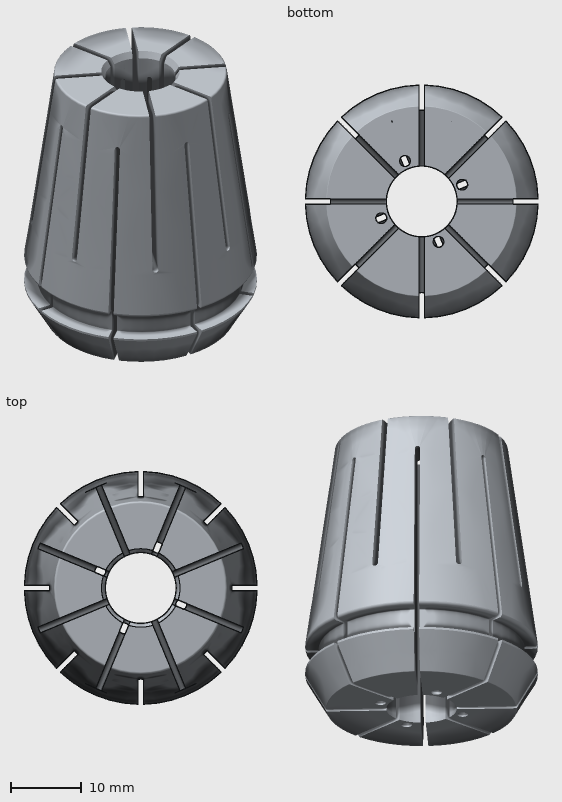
import cadquery as cq
import math

height = 40.0
max_radius = 33.0 / 2
taper_angle = math.radians(8)
nose_angle = math.radians(30)

nose_edge_z = 5.25
groove_bottom_z = 5.55
groove_top_z = 9.1
groove_radius = 14.6
groove_root_fillet = 0.1

rim_fillet = 0.5
taper_start_z = groove_top_z + rim_fillet
top_fillet = 0.3
bottom_fillet = 0.1

bore_radius = 10.0 / 2
bore_chamfer_width = 0.55
bore_chamfer_depth = 0.9

slots_per_end = 8
slot_pitch = 360.0 / slots_per_end
bottom_slot_width = 0.75
bottom_slot_end_z = 35.0
top_slot_width = 0.9
top_slot_end_z = 16.0
slot_end_slope = math.radians(8)

hole_count = 4
hole_diameter = 1.5
hole_circle_radius = 6.2
hole_top_z = top_slot_end_z + top_slot_width
first_hole_angle = 1.5 * slot_pitch


def make_body():
    """Revolved collet body: conical nose, extraction groove and long taper."""
    nose_radius = max_radius - nose_edge_z * math.tan(nose_angle)
    top_radius = max_radius - (height - taper_start_z) * math.tan(taper_angle)
    body = (
        cq.Workplane("XZ")
        .moveTo(0, 0)
        .lineTo(nose_radius, 0)
        .lineTo(max_radius, nose_edge_z)
        .lineTo(max_radius, groove_bottom_z)
        .lineTo(groove_radius + groove_root_fillet, groove_bottom_z)
        .radiusArc((groove_radius, groove_bottom_z + groove_root_fillet), groove_root_fillet)
        .lineTo(groove_radius, groove_top_z - groove_root_fillet)
        .radiusArc((groove_radius + groove_root_fillet, groove_top_z), groove_root_fillet)
        .lineTo(max_radius - rim_fillet, groove_top_z)
        .radiusArc((max_radius, taper_start_z), -rim_fillet)
        .lineTo(top_radius, height)
        .lineTo(0, height)
        .close()
        .revolve(360, (0, 0, 0), (0, 1, 0))
    )
    body = body.faces("<Z").edges().fillet(bottom_fillet)
    return body.faces(">Z").edges().fillet(top_fillet)


def make_bore():
    """Through bore with a conical lead-in at the top."""
    mouth_radius = bore_radius + bore_chamfer_width
    return (
        cq.Workplane("XZ")
        .moveTo(0, 0)
        .lineTo(bore_radius, 0)
        .lineTo(bore_radius, height - bore_chamfer_depth)
        .lineTo(mouth_radius, height)
        .lineTo(0, height)
        .close()
        .revolve(360, (0, 0, 0), (0, 1, 0))
    )


def make_slot(width, end_z, open_direction, angle):
    """Radial slot open at the top (open_direction +1) or bottom (-1).

    Its full-round blind end meets the tapered surface at end_z and runs
    deeper toward the axis at slot_end_slope.
    """
    surface_radius = max_radius - (end_z - taper_start_z) * math.tan(taper_angle)
    round_radius = width / 2
    rise_per_unit = open_direction * math.tan(slot_end_slope)

    surface_z = end_z + open_direction * round_radius / math.cos(slot_end_slope)
    axis_z = surface_z - rise_per_unit * surface_radius
    outer_radius = max_radius + width
    outer_z = axis_z + rise_per_unit * outer_radius
    open_z = height / 2 + open_direction * height

    slab = (
        cq.Workplane("XZ")
        .moveTo(0, axis_z)
        .lineTo(outer_radius, outer_z)
        .lineTo(outer_radius, open_z)
        .lineTo(0, open_z)
        .close()
        .extrude(round_radius, both=True)
    )
    round_end = cq.Workplane(
        cq.Solid.makeCylinder(
            round_radius,
            math.hypot(outer_radius, outer_z - axis_z),
            cq.Vector(0, 0, axis_z),
            cq.Vector(outer_radius, 0, outer_z - axis_z),
        )
    )
    return slab.union(round_end).rotate((0, 0, 0), (0, 0, 1), angle)


def make_holes():
    """Axial holes from the bottom up into the round ends of the top slots."""
    return (
        cq.Workplane("XY")
        .polarArray(hole_circle_radius, first_hole_angle, 360, hole_count)
        .circle(hole_diameter / 2)
        .extrude(hole_top_z)
    )


result = make_body().cut(make_bore()).cut(make_holes())
for index in range(slots_per_end):
    bottom_slot_angle = index * slot_pitch
    top_slot_angle = bottom_slot_angle + slot_pitch / 2
    bottom_slot = make_slot(bottom_slot_width, bottom_slot_end_z, -1, bottom_slot_angle)
    top_slot = make_slot(top_slot_width, top_slot_end_z, 1, top_slot_angle)
    result = result.cut(bottom_slot).cut(top_slot)